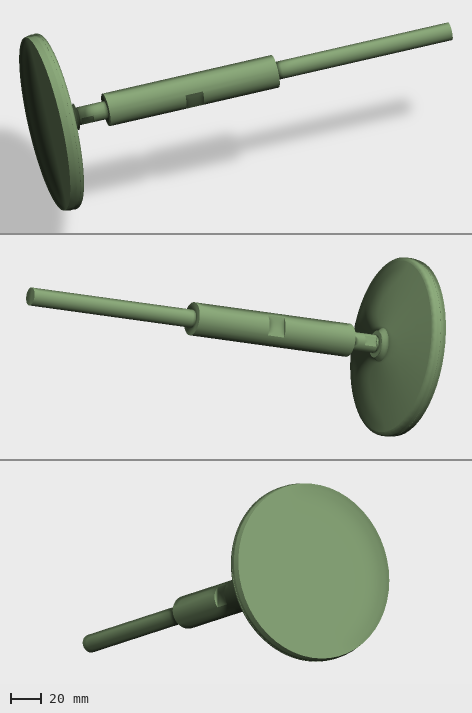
import cadquery as cq

TOTAL_LENGTH = 277.0

FOOT_RADIUS = 118.0 / 2
SOLE_RADIUS = 58.2
GROOVE_BOTTOM = 4.2
GROOVE_TOP = 6.6
GROOVE_DEPTH = 0.15
RIM_TOP = 9.5
RIM_FILLET = 2.8
CONE_TOP = 17.5
CONE_TOP_RADIUS = 11.0
NECK_TOP = 20.2
NECK_RADIUS = 8.0
LIP_TOP = 21.3
LIP_RADIUS = 9.0

SPINDLE_RADIUS = 12.0 / 2
SPINDLE_TIP_RADIUS = 5.0
SPINDLE_TAPER_BOTTOM = 22.0
SPINDLE_TAPER_TOP = 22.7
SPINDLE_FLATS_BOTTOM = 23.5
SPINDLE_FLATS_TOP = 31.9
SPINDLE_ACROSS_FLATS = 10.0

SLEEVE_RADIUS = 22.0 / 2
SLEEVE_BOTTOM = 41.8
SLEEVE_TOP = 157.3
SLEEVE_FLATS_LENGTH = 12.0
SLEEVE_ACROSS_FLATS = 17.2


def revolve_about_y(points):
    """Turn a closed (radius, Y) outline around the Y axis."""
    return cq.Workplane("XY").polyline(points).close().revolve(360, (0, 0, 0), (0, 1, 0))


def cut_wrench_flats(body, radius, across_flats, bottom, top):
    """Cut two opposite flats, facing +X and -X, between two heights along Y."""
    for side in (-1, 1):
        cutter = cq.Workplane("XY").box(radius, top - bottom, 2 * radius)
        offset = side * (across_flats + radius) / 2
        body = body.cut(cutter.translate((offset, (bottom + top) / 2, 0)))
    return body


def make_foot():
    """Shallow conical disc with a grooved rim, a tapered neck and a thin lip."""
    groove_radius = FOOT_RADIUS - GROOVE_DEPTH
    foot = revolve_about_y([
        (0, 0),
        (SOLE_RADIUS, 0),
        (FOOT_RADIUS, GROOVE_BOTTOM),
        (groove_radius, GROOVE_BOTTOM),
        (groove_radius, GROOVE_TOP),
        (FOOT_RADIUS, GROOVE_TOP),
        (FOOT_RADIUS, RIM_TOP),
        (CONE_TOP_RADIUS, CONE_TOP),
        (NECK_RADIUS, NECK_TOP),
        (LIP_RADIUS, LIP_TOP),
        (0, LIP_TOP),
    ])
    rim_corner = cq.selectors.NearestToPointSelector((0, RIM_TOP, 0))
    return foot.edges("%CIRCLE").edges(rim_corner).fillet(RIM_FILLET)


def make_spindle():
    """Long rod with a tapered tip resting on the foot and flats just above it."""
    spindle = revolve_about_y([
        (0, LIP_TOP),
        (SPINDLE_TIP_RADIUS, LIP_TOP),
        (SPINDLE_TIP_RADIUS, SPINDLE_TAPER_BOTTOM),
        (SPINDLE_RADIUS, SPINDLE_TAPER_TOP),
        (SPINDLE_RADIUS, TOTAL_LENGTH),
        (0, TOTAL_LENGTH),
    ])
    return cut_wrench_flats(
        spindle, SPINDLE_RADIUS, SPINDLE_ACROSS_FLATS, SPINDLE_FLATS_BOTTOM, SPINDLE_FLATS_TOP
    )


def make_sleeve():
    """Tube around the spindle with wrench flats at mid-length."""
    sleeve = revolve_about_y([
        (SPINDLE_RADIUS, SLEEVE_BOTTOM),
        (SLEEVE_RADIUS, SLEEVE_BOTTOM),
        (SLEEVE_RADIUS, SLEEVE_TOP),
        (SPINDLE_RADIUS, SLEEVE_TOP),
    ])
    middle = (SLEEVE_BOTTOM + SLEEVE_TOP) / 2
    half_length = SLEEVE_FLATS_LENGTH / 2
    return cut_wrench_flats(
        sleeve, SLEEVE_RADIUS, SLEEVE_ACROSS_FLATS, middle - half_length, middle + half_length
    )


foot = make_foot()
spindle = make_spindle()
sleeve = make_sleeve()

result = cq.Compound.makeCompound([foot.val(), spindle.val(), sleeve.val()])